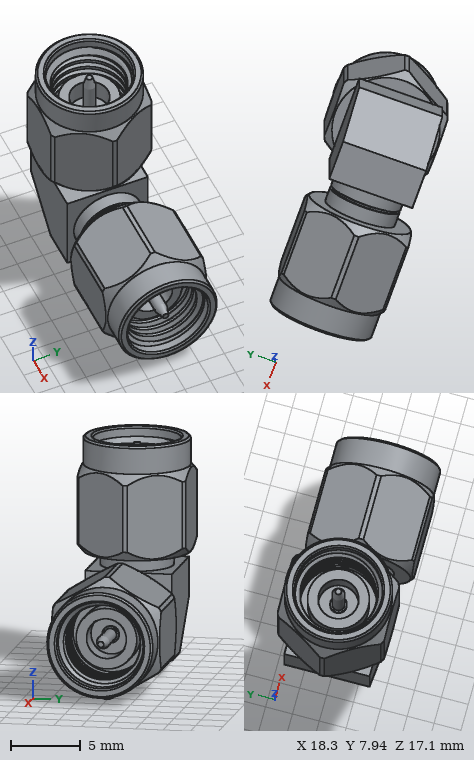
import cadquery as cq
import math


block_size = 6.35
block_bevel = 3.43
block_half = block_size / 2

neck_radius = 2.66
upper_neck_length = 1.02
side_neck_extra = 1.27
side_neck_length = upper_neck_length + side_neck_extra
groove_radius = 2.46
groove_width = 0.2

hex_across_flats = 7.9375
hex_corner_radius = 4.485
hex_length = 6.35
collar_radius = 3.875
collar_length = 2.04
collar_chamfer = 0.15
hex_chamfer_angle = 50
nut_length = hex_length + collar_length

mouth_chamfer = 0.13
relief_radius = 3.17
relief_depth = 0.74
thread_minor_radius = 2.76
thread_major_radius = 3.15
threads_per_inch = 36
thread_pitch = 25.4 / threads_per_inch
thread_half_angle = 30
thread_start_depth = 3.88
thread_turns = 4.5
bore_depth = 4.2

sleeve_radius = 2.22
sleeve_bore_radius = 1.46
sleeve_face_depth = 2.57
pin_radius = 0.46
pin_tip_radius = 0.22
pin_tip_depth = 0.5
pin_taper_depth = 1.29
pin_collar_radius = 0.61
pin_collar_height = 0.2

overlap = 0.1


def cylinder(radius, bottom, top):
    return cq.Workplane("XY").workplane(offset=bottom).circle(radius).extrude(top - bottom)


def revolved(outline):
    """Revolve an outline of (radius, height) points about the Z axis."""
    return cq.Workplane("XZ").polyline(outline).close().revolve(360, (0, 0, 0), (0, 1, 0))


def block():
    body = cq.Workplane("XY").box(block_size, block_size, block_size)
    return body.edges("<X and <Z").chamfer(block_bevel)


def nut_outside():
    """Chamfered hexagon with a round collar; it stands on Z = 0."""
    across_corners = hex_across_flats / math.cos(math.radians(30))
    hexagon = cq.Workplane("XY").polygon(6, across_corners).extrude(hex_length)
    chamfer_drop = (hex_corner_radius - collar_radius) * math.tan(math.radians(hex_chamfer_angle))
    turned_blank = revolved([
        (0, 0),
        (collar_radius, 0),
        (hex_corner_radius, chamfer_drop),
        (hex_corner_radius, hex_length - chamfer_drop),
        (collar_radius, hex_length),
        (0, hex_length),
    ])
    collar = cylinder(collar_radius, hex_length - overlap, nut_length)
    collar = collar.faces(">Z").chamfer(collar_chamfer)
    return hexagon.intersect(turned_blank).union(collar)


def nut_mouth():
    """Chamfered mouth, relief and 45 degree lead-in cone above the thread."""
    lead_in_bottom = nut_length - relief_depth - (relief_radius - thread_minor_radius)
    return revolved([
        (0, lead_in_bottom),
        (thread_minor_radius, lead_in_bottom),
        (relief_radius, nut_length - relief_depth),
        (relief_radius, nut_length - mouth_chamfer),
        (relief_radius + mouth_chamfer, nut_length),
        (0, nut_length),
    ])


def thread_groove():
    """Right-hand helical V groove whose apex lies at the major radius."""
    start_height = nut_length - thread_start_depth
    base_radius = thread_minor_radius - overlap
    half_width = (thread_major_radius - base_radius) * math.tan(math.radians(thread_half_angle))
    helix = cq.Wire.makeHelix(
        thread_pitch, thread_pitch * thread_turns, thread_major_radius, cq.Vector(0, 0, start_height)
    )
    profile = cq.Workplane("XZ").polyline([
        (base_radius, start_height - half_width),
        (thread_major_radius, start_height),
        (base_radius, start_height + half_width),
    ]).close()
    return profile.sweep(cq.Workplane(helix), isFrenet=True)


def contact_sleeve():
    """Tube standing on the bore floor around the centre pin."""
    sleeve = cylinder(sleeve_radius, nut_length - bore_depth - overlap, nut_length - sleeve_face_depth)
    return sleeve.cut(cylinder(sleeve_bore_radius, nut_length - bore_depth, nut_length))


def centre_pin():
    """Tapered contact pin with a low collar at its foot."""
    floor = nut_length - bore_depth
    collar_top = floor + pin_collar_height
    return revolved([
        (0, floor - overlap),
        (pin_collar_radius, floor - overlap),
        (pin_collar_radius, collar_top),
        (pin_radius, collar_top),
        (pin_radius, nut_length - pin_taper_depth),
        (pin_tip_radius, nut_length - pin_tip_depth),
        (0, nut_length - pin_tip_depth),
    ])


def plug_nut():
    """Complete nut; the thread is cut before the mouth so that it runs out in the lead-in."""
    nut = nut_outside().cut(cylinder(thread_minor_radius, nut_length - bore_depth, nut_length))
    nut = nut.cut(thread_groove()).cut(nut_mouth())
    return nut.union(contact_sleeve()).union(centre_pin())


def neck(length):
    """Round neck from inside the block to inside the nut."""
    return cylinder(neck_radius, block_half - overlap, block_half + length + overlap)


def grooved_neck(length):
    """Neck with a narrow turned groove halfway along its visible length."""
    middle = block_half + length / 2
    bottom = middle - groove_width / 2
    top = middle + groove_width / 2
    ring = cylinder(neck_radius + overlap, bottom, top).cut(cylinder(groove_radius, bottom, top))
    return neck(length).cut(ring)


nut = plug_nut()
upper_plug = nut.translate((0, 0, block_half + upper_neck_length)).union(neck(upper_neck_length))
side_plug = nut.translate((0, 0, block_half + side_neck_length)).union(grooved_neck(side_neck_length))
side_plug = side_plug.rotate((0, 0, 0), (0, 1, 0), 90)

result = block().union(upper_plug).union(side_plug)